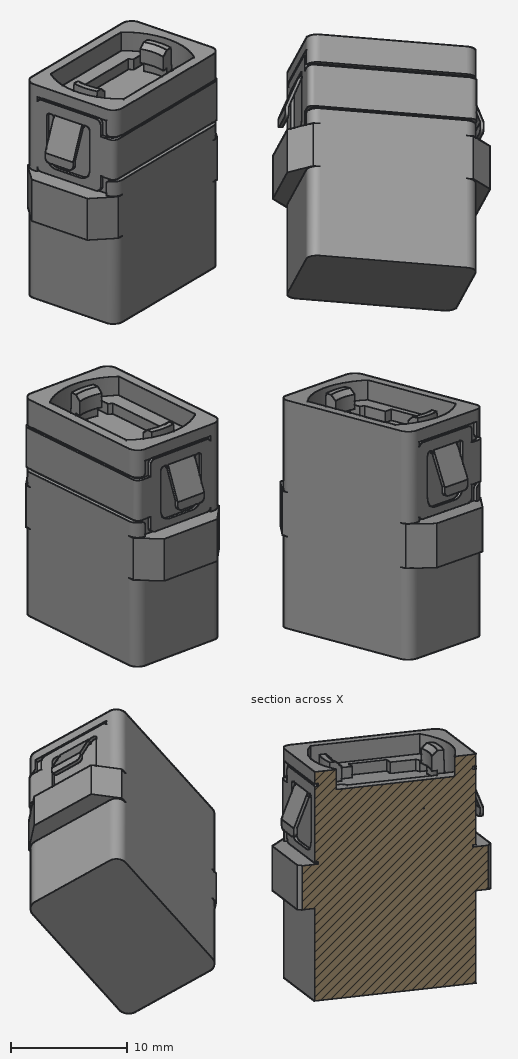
import cadquery as cq

housing_x = 9.8
housing_y = 14.87
housing_z = 20.6
housing_corner_radius = 0.99

flange_y = 17.82
flange_z = 4.0
flange_chamfer = 1.9
flange_top = (housing_z + flange_z) / 2

socket_width = 7.87
socket_radius = 6.37
socket_depth = 1.8
pocket_width = 5.0
pocket_radius = 4.82
pocket_end_width = 4.22
pocket_depth = 2.8
key_reach = 3.3
key_width = 3.5
pocket_floor = housing_z - pocket_depth

latch_width = 2.5
latch_inner_radius = pocket_radius
latch_top_radius = 5.38
latch_base_radius = 5.5
hook_radius = 4.33
hook_slope = 0.45
hook_height = socket_depth

sheet = 0.3
strap_sink = 0.1
strap_x = housing_x / 2 - strap_sink
clip_bend_radius = 0.55
core_corner_radius = 0.5
clip_middle = 15.86
plate_left = -3.6
plate_right = 3.3
plate_height = 6.92
plate_corner_radius = 0.47
strap_height = 3.81

seat_left = -3.56
seat_right = housing_x / 2 - housing_corner_radius
seat_height = 7.25
notch_height = 4.33
notch_corner_radius = 0.29

window_left = -2.51
window_right = 2.12
window_bottom = 13.12
window_top = 18.3
window_corner_radius = 1.03
relief_radius = 0.35
tongue_left = -1.7
tongue_right = 1.3
tongue_bend = 15.18
tongue_bottom = 14.32
tongue_reach = 8.71
tongue_corner_radius = 0.45

through = 2 * flange_y


def block(left, right, front, back, bottom, top):
    """Box given by its limits along X, Y and Z."""
    size = (right - left, back - front, top - bottom)
    return cq.Workplane("XY").box(*size, centered=False).translate((left, front, bottom))


def wall_band(left, right, bottom, top):
    """Box seen as a rectangle along Y, running through the whole part."""
    return block(left, right, -through / 2, through / 2, bottom, top)


def level_band(left, right, height):
    """Wall band centred on the height of the clip."""
    return wall_band(left, right, clip_middle - height / 2, clip_middle + height / 2)


def centred_block(x, y, bottom, top):
    return block(-x / 2, x / 2, -y / 2, y / 2, bottom, top)


def disc(radius, bottom, top):
    return cq.Workplane("XY").workplane(offset=bottom).circle(radius).extrude(top - bottom)


def make_flange():
    collar = centred_block(housing_x, flange_y, flange_top - flange_z, flange_top)
    return collar.edges("|Z").chamfer(flange_chamfer)


def make_socket():
    """Material removed from the top: recess, pocket, pocket ends and a keyway on the +X side."""
    recess_floor = housing_z - socket_depth
    round_limit = disc(socket_radius, pocket_floor, housing_z)
    recess = centred_block(socket_width, through, recess_floor, housing_z)
    pocket = centred_block(pocket_width, through, pocket_floor, housing_z)
    pocket = pocket.intersect(disc(pocket_radius, pocket_floor, housing_z))
    pocket_ends = centred_block(pocket_end_width, through, pocket_floor, housing_z)
    key = block(0, key_reach, -key_width / 2, key_width / 2, pocket_floor, housing_z)
    return recess.union(pocket_ends).intersect(round_limit).union(pocket).union(key)


def make_latches():
    ring = (
        cq.Workplane("XZ")
        .moveTo(latch_inner_radius, pocket_floor)
        .lineTo(latch_base_radius, pocket_floor)
        .lineTo(latch_top_radius, housing_z)
        .lineTo(latch_inner_radius, housing_z)
        .lineTo(hook_radius, housing_z - hook_slope)
        .lineTo(hook_radius, housing_z - hook_height)
        .lineTo(latch_inner_radius, housing_z - hook_height)
        .close()
        .revolve(360, (0, 0, 0), (0, 1, 0))
    )
    return ring.intersect(centred_block(latch_width, through, pocket_floor, housing_z))


def make_core():
    """Body left inside the clip, rounded where the clip turns the corners."""
    half_y = housing_y / 2 - sheet
    core = block(-housing_x / 2, strap_x - sheet, -half_y, half_y, 0, housing_z)
    return core.edges("|Z and >X").fillet(core_corner_radius)


def make_clip_seat(core):
    """Material removed from the housing to make room for the clip."""
    seat = level_band(seat_left, seat_right, seat_height)
    notch = level_band(seat_right, housing_x, notch_height)
    reach = notch_corner_radius
    half_height = notch_height / 2 + reach
    notch_corners = cq.selectors.BoxSelector(
        (seat_right - reach, -reach, clip_middle - half_height),
        (seat_right + reach, reach, clip_middle + half_height),
    )
    outline = seat.union(notch).edges("|Y").edges(notch_corners).fillet(notch_corner_radius)
    return outline.cut(core)


def make_window():
    """Window opening: a U of relief slots around the area the tongue is bent from."""
    tongue_area = wall_band(tongue_left, tongue_right, tongue_bottom, window_top)
    opening = wall_band(window_left, window_right, window_bottom, window_top)
    relief = opening.cut(tongue_area)
    relief = relief.faces(">Z").edges("|Y").fillet(relief_radius)
    relief = relief.faces("<Z").edges("|Y").fillet(window_corner_radius)
    return relief.union(tongue_area)


def make_tongue():
    """Spring tongue on the -Y side: it slopes outward, then hangs straight down."""
    root = housing_y / 2
    tongue = (
        cq.Workplane("YZ", origin=(tongue_left, 0, 0))
        .moveTo(-root, window_top)
        .lineTo(-tongue_reach, tongue_bend)
        .lineTo(-tongue_reach, tongue_bottom)
        .lineTo(-tongue_reach + sheet, tongue_bottom)
        .lineTo(-tongue_reach + sheet, tongue_bend)
        .lineTo(-root + sheet, window_top)
        .close()
        .extrude(tongue_right - tongue_left)
    )
    return tongue.faces("<Z").edges("|Y").fillet(tongue_corner_radius)


def make_clip(core):
    sleeve = block(-housing_x / 2, strap_x, -housing_y / 2, housing_y / 2, 0, housing_z)
    sleeve = sleeve.edges("|Z and >X").fillet(clip_bend_radius)
    plate = level_band(plate_left, plate_right, plate_height)
    plate = plate.edges("|Y").fillet(plate_corner_radius)
    strap = level_band(0, housing_x, strap_height)
    outline = plate.union(strap).cut(make_window())
    strip = sleeve.intersect(outline).cut(core)
    tongue = make_tongue()
    return strip.union(tongue).union(tongue.mirror("XZ"))


core = make_core()
housing = centred_block(housing_x, housing_y, 0, housing_z)
housing = housing.edges("|Z").fillet(housing_corner_radius)
housing = housing.cut(make_clip_seat(core)).union(make_clip(core)).union(make_flange())
result = housing.cut(make_socket()).union(make_latches())